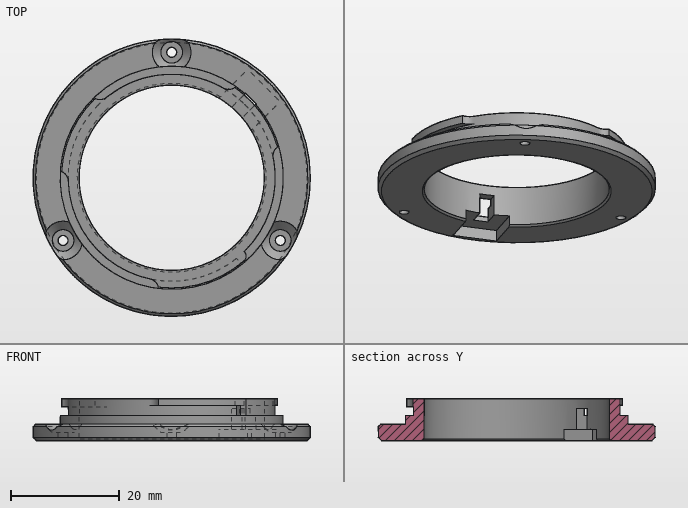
import cadquery as cq
import math

flange_radius = 25.5
flange_height = 3.05
bottom_chamfer = 0.6
top_chamfer = 0.45

step_radius = 20.5
step_top = 4.7
barrel_radius = 19.0
total_height = 7.75
bore_radius = 34.0 / 2
bore_chamfer = 0.35

tab_radius = 20.25
tab_root_fillet = 2.0
plain_tabs = [
    (16.2, 55.0, 6.55),
    (134.0, 176.8, 6.2),
]
stop_tab_start = 263.0
stop_tab_underside = 6.55

stop_start = 308.8
stop_outer_end = 311.4
stop_bulge_angle = 314.0
stop_barrel_end = 314.4

fillet_center_radius = barrel_radius + tab_root_fillet
fillet_angle = math.degrees(
    math.acos(
        (fillet_center_radius**2 + tab_radius**2 - tab_root_fillet**2)
        / (2 * fillet_center_radius * tab_radius)
    )
)

screw_angles = (90, 210, 330)
screw_circle_radius = 23.05
screw_hole_diameter = 1.8
countersink_top_diameter = 7.1
countersink_floor_diameter = 4.0
countersink_depth = (countersink_top_diameter - countersink_floor_diameter) / 2

slot_angle = 45
slot_width = 2.75
slot_top = 5.9
slot_reach = 20.55
recess_width = 8.4
recess_height = 2.1
recess_reach = 23.95


def disc(radius, bottom, top):
    return cq.Workplane("XY").workplane(offset=bottom).circle(radius).extrude(top - bottom)


def polar(radius, angle):
    a = math.radians(angle)
    return radius * math.cos(a), radius * math.sin(a)


def outer_edge(start, end, bottom):
    """Open outline from the axis out to the tab radius and along it."""
    return (
        cq.Workplane("XY")
        .workplane(offset=bottom)
        .lineTo(*polar(tab_radius, start))
        .threePointArc(polar(tab_radius, (start + end) / 2), polar(tab_radius, end))
    )


def cut_root_fillet(body, angle, bottom):
    """Shape a tab end with a concave round that is tangent to the barrel."""
    x, y = polar(fillet_center_radius, angle)
    return body.cut(disc(tab_root_fillet, bottom, total_height).translate((x, y, 0)))


def plain_tab(start, end, bottom):
    root_start = start - fillet_angle
    root_end = end + fillet_angle
    body = outer_edge(root_start, root_end, bottom).close().extrude(total_height - bottom)
    body = cut_root_fillet(body, root_start, bottom)
    return cut_root_fillet(body, root_end, bottom)


def stop_tab(start, bottom):
    """Tab, or rotation stop, with the bulged end."""
    bulge = polar((barrel_radius + tab_radius) / 2, stop_bulge_angle)
    return (
        outer_edge(start, stop_outer_end, bottom)
        .threePointArc(bulge, polar(barrel_radius, stop_barrel_end))
        .close()
        .extrude(total_height - bottom)
    )


def screw_hole(angle):
    x, y = polar(screw_circle_radius, angle)
    floor = flange_height - countersink_depth
    cone = (
        cq.Workplane("XY")
        .workplane(offset=floor)
        .circle(countersink_floor_diameter / 2)
        .workplane(offset=countersink_depth)
        .circle(countersink_top_diameter / 2)
        .loft()
    )
    return cone.union(disc(screw_hole_diameter / 2, 0, flange_height)).translate((x, y, 0))


def radial_cut(width, height, reach):
    """Block from the axis out to the given reach, rising from the underside."""
    block = cq.Workplane("XY").box(reach, width, height, centered=(False, True, False))
    return block.rotate((0, 0, 0), (0, 0, 1), slot_angle)


flange = disc(flange_radius, 0, flange_height)
flange = flange.faces("<Z").edges().chamfer(bottom_chamfer)
flange = flange.faces(">Z").edges().chamfer(top_chamfer)
for screw_angle in screw_angles:
    flange = flange.cut(screw_hole(screw_angle))

result = flange.union(disc(step_radius, 0, step_top)).union(disc(barrel_radius, 0, total_height))

for tab_start, tab_end, underside in plain_tabs:
    result = result.union(plain_tab(tab_start, tab_end, underside))

stop_tab_root_start = stop_tab_start - fillet_angle
long_tab = stop_tab(stop_tab_root_start, stop_tab_underside)
long_tab = cut_root_fillet(long_tab, stop_tab_root_start, stop_tab_underside)
result = result.union(long_tab).union(stop_tab(stop_start, step_top))

result = result.cut(disc(bore_radius, 0, total_height))
bore_edge = cq.selectors.RadiusNthSelector(1)
result = result.faces("<Z").edges(bore_edge).chamfer(bore_chamfer)
result = result.cut(radial_cut(slot_width, slot_top, slot_reach))
result = result.cut(radial_cut(recess_width, recess_height, recess_reach))